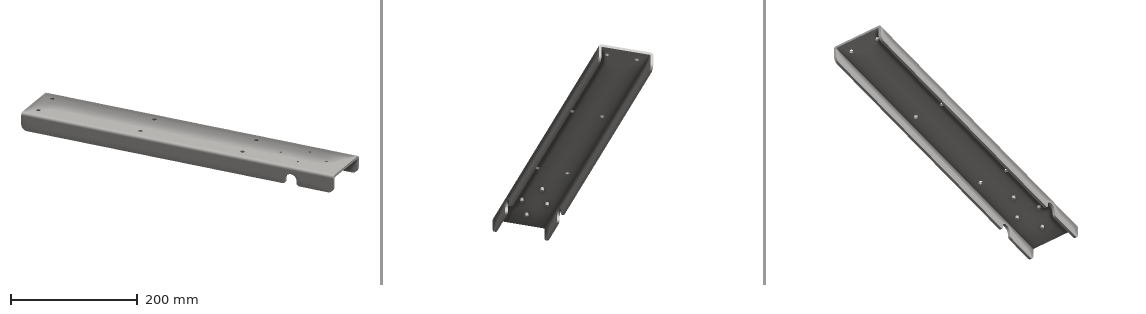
import cadquery as cq

LENGTH = 550.0
WIDTH = 90.0
HEIGHT = 30.0
SHEET = 4.5
BEND_RADIUS = 5.0
BEND_INNER_RADIUS = BEND_RADIUS - SHEET
FLANGE_CORNER_RADIUS = 10.0

NOTCH_X = 475.0
NOTCH_WIDTH = 20.0
NOTCH_DEPTH = 18.0
NOTCH_MOUTH_RADIUS = 5.0

HOLE_DIAMETER = 7.0
HOLE_FIRST_X = 20.0
HOLE_PITCH_X = 180.0
HOLE_COLUMNS = 3
HOLE_OFFSET_Y = 25.0

SCREW_CENTER_X = NOTCH_X
SCREW_OFFSET_X = 40.0
SCREW_OFFSET_Y = 21.0
SCREW_LENGTH = 10.0
HEAD_DIAMETER = 12.5
SHANK_DIAMETER = 6.0
CLEARANCE_DIAMETER = 6.5
HEAD_HEIGHT = (HEAD_DIAMETER - SHANK_DIAMETER) / 2
SINK_DEPTH = (HEAD_DIAMETER - CLEARANCE_DIAMETER) / 2
SOCKET_FLATS = 4.0
SOCKET_DEPTH = 2.0

HEXAGON_SIDES = 6
HEXAGON_FLATS_TO_CORNERS = 2 / 3**0.5

HOLE_POINTS = [
    (HOLE_FIRST_X + column * HOLE_PITCH_X, side * HOLE_OFFSET_Y)
    for column in range(HOLE_COLUMNS)
    for side in (-1, 1)
]
SCREW_POINTS = [
    (SCREW_CENTER_X - SCREW_OFFSET_X, 0),
    (SCREW_CENTER_X + SCREW_OFFSET_X, 0),
    (SCREW_CENTER_X, -SCREW_OFFSET_Y),
    (SCREW_CENTER_X, SCREW_OFFSET_Y),
]


def make_bent_sheet():
    """Straight U channel with rounded bends and rounded lower flange corners."""
    outer = (
        cq.Workplane("XY")
        .box(LENGTH, WIDTH, HEIGHT, centered=(False, True, False))
        .edges("|X and >Z")
        .fillet(BEND_RADIUS)
    )
    inner = (
        cq.Workplane("XY")
        .box(LENGTH, WIDTH - 2 * SHEET, HEIGHT - SHEET, centered=(False, True, False))
        .edges("|X and >Z")
        .fillet(BEND_INNER_RADIUS)
    )
    side_outline = (
        cq.Workplane("XY")
        .box(LENGTH, WIDTH, HEIGHT, centered=(False, True, False))
        .edges("|Y and <Z")
        .fillet(FLANGE_CORNER_RADIUS)
    )
    return outer.cut(inner).intersect(side_outline)


def make_notch_cutter():
    """Notch with a semicircular top and a mouth that flares out at the bottom."""
    half_width = NOTCH_WIDTH / 2
    mouth_half_width = half_width + NOTCH_MOUTH_RADIUS
    shoulder_z = NOTCH_DEPTH - half_width
    flare = NOTCH_MOUTH_RADIUS
    flare_middle = flare * (1 - 0.5**0.5)
    return (
        cq.Workplane("XZ", origin=(NOTCH_X, 0, 0))
        .moveTo(-mouth_half_width, 0)
        .threePointArc((-half_width - flare_middle, flare_middle), (-half_width, flare))
        .lineTo(-half_width, shoulder_z)
        .threePointArc((0, NOTCH_DEPTH), (half_width, shoulder_z))
        .lineTo(half_width, flare)
        .threePointArc((half_width + flare_middle, flare_middle), (mouth_half_width, 0))
        .close()
        .extrude(WIDTH / 2, both=True)
    )


def make_countersunk_shaft(shaft_diameter, cone_height, depth):
    """Solid of revolution: a cone from the top face, then a shaft down to the depth."""
    return (
        cq.Workplane("XZ")
        .polyline([
            (0, HEIGHT),
            (HEAD_DIAMETER / 2, HEIGHT),
            (shaft_diameter / 2, HEIGHT - cone_height),
            (shaft_diameter / 2, HEIGHT - depth),
            (0, HEIGHT - depth),
        ])
        .close()
        .revolve(360, (0, 0), (0, 1))
    )


def make_channel():
    mounting_holes = (
        cq.Workplane("XY", origin=(0, 0, HEIGHT - SHEET))
        .pushPoints(HOLE_POINTS)
        .circle(HOLE_DIAMETER / 2)
        .extrude(SHEET)
    )
    channel = make_bent_sheet().cut(make_notch_cutter()).cut(mounting_holes)
    countersink = make_countersunk_shaft(CLEARANCE_DIAMETER, SINK_DEPTH, SHEET)
    for x, y in SCREW_POINTS:
        channel = channel.cut(countersink.translate((x, y, 0)))
    return channel


def make_screw():
    """Countersunk screw on the Z axis, flush with the web, with a hexagon socket."""
    socket = (
        cq.Workplane("XY", origin=(0, 0, HEIGHT))
        .polygon(HEXAGON_SIDES, SOCKET_FLATS * HEXAGON_FLATS_TO_CORNERS)
        .extrude(-SOCKET_DEPTH)
    )
    body = make_countersunk_shaft(SHANK_DIAMETER, HEAD_HEIGHT, SCREW_LENGTH)
    return body.cut(socket)


channel = make_channel()
screws = [make_screw().translate((x, y, 0)) for x, y in SCREW_POINTS]

result = cq.Compound.makeCompound([channel.val(), *[screw.val() for screw in screws]])